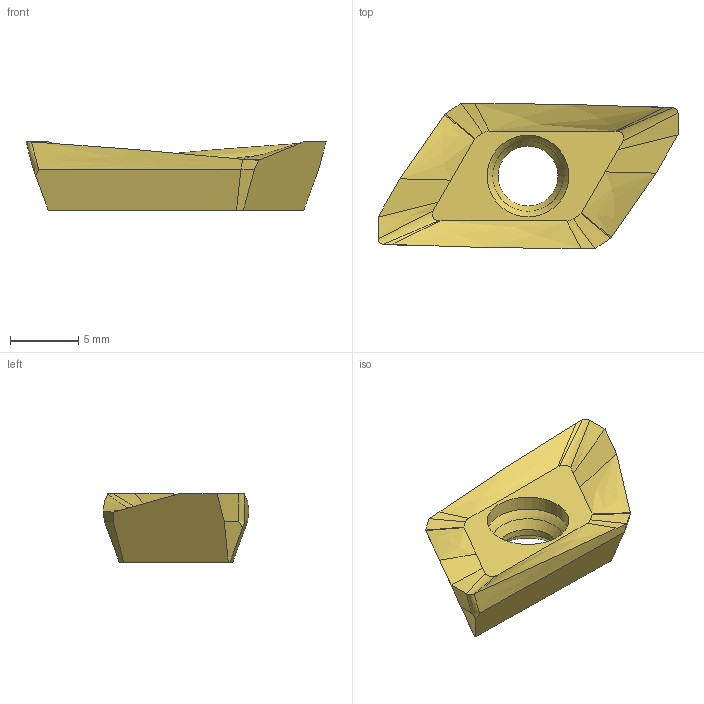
import cadquery as cq
import math

length = 22.0
width = 10.67
height = 5.0
break_height = 3.0
floor_height = 3.75

lower_draft = 20.0
end_draft = 15.0
chamfer_draft = 11.0

front_angle = -90.8
chamfer_angle = -57.0
side_angle = -30.0
end_angle = 180.0

end_at_top = length / 2
end_at_break = end_at_top - (height - break_height) * math.tan(math.radians(end_draft))
front_at_base = 4.10
chamfer_at_base = 5.91
side_at_base = 6.20

low_corner_height = 3.72
plate_end_height = 3.66
edge_slope = 0.1
nose_radius = 0.4
nose_edge_y = -5.0
nose_tip_height = 2.55
raised_side_y = -0.21

floor_half_width = 3.29
floor_side_distance = 4.76
floor_plate_distance = 4.45
floor_end_y = -1.93
floor_raised_y = -0.3
acute_corner_radius = 0.5
plate_corner_radius = 0.9

nose_strip = 0.6
nose_strip_at_floor = 0.15
corner_strip = 1.0
corner_step = 0.08

counterbore_radius = 3.0
counterbore_depth = 1.07
cone_radius = 2.6
cone_top = 2.1
cone_slope = 30.0
bore_radius = 2.2
exit_height = 0.9
exit_radius = bore_radius + exit_height


def meet(first, second, z):
    """Point at height z where two plan lines, each (angle, distance from axis), cross."""
    (angle_1, distance_1), (angle_2, distance_2) = first, second
    a1, a2 = math.radians(angle_1), math.radians(angle_2)
    determinant = math.sin(a2 - a1)
    x = (distance_1 * math.sin(a2) - distance_2 * math.sin(a1)) / determinant
    y = (distance_2 * math.cos(a1) - distance_1 * math.cos(a2)) / determinant
    return cq.Vector(x, y, z)


def drafted(angle, base_distance, z, draft=lower_draft, base_z=0.0):
    """Plan line of a flank at height z."""
    return (angle, base_distance + (z - base_z) * math.tan(math.radians(draft)))


def front(z):
    return drafted(front_angle, front_at_base, z)


def chamfer(z):
    return drafted(chamfer_angle, chamfer_at_base, z)


def upper_chamfer(z):
    distance = chamfer(break_height)[1]
    return drafted(chamfer_angle, distance, z, chamfer_draft, break_height)


def side(z):
    return drafted(side_angle, side_at_base, z)


def far_side(z):
    return drafted(side_angle + 180, side_at_base, z)


def lower_end(z):
    return drafted(end_angle, end_at_break, z, lower_draft, break_height)


def turned(point):
    """Same point after half a turn about Z."""
    return cq.Vector(-point.x, -point.y, point.z)


def at_x(flank, x, z):
    """Point of a flank line at a given X."""
    return meet(flank, (0, x), z)


def at_y(flank, y, z):
    """Point of a flank line at a given Y."""
    return meet(flank, (90, y), z)


def along(start, end, distance):
    """Point on the way from start to end, a distance from start."""
    return start + (end - start).normalized() * distance


side_base = meet(far_side(0), lower_end(0), 0)
nose_base = meet(lower_end(0), front(0), 0)
front_base = meet(front(0), chamfer(0), 0)
plate_base = meet(chamfer(0), side(0), 0)
nose_tip = meet(lower_end(nose_tip_height), front(nose_tip_height), nose_tip_height)
side_break = meet(far_side(break_height), (end_angle, end_at_break), break_height)
front_break = meet(front(break_height), chamfer(break_height), break_height)
plate_break = meet(chamfer(break_height), side(break_height), break_height)

end_nose = cq.Vector(-end_at_top, nose_edge_y + nose_radius, height)
nose_end = cq.Vector(-end_at_top + nose_radius, nose_edge_y, height)
nose_centre = cq.Vector(nose_end.x, end_nose.y, height)
low_corner = at_y(upper_chamfer(low_corner_height), -width / 2, low_corner_height)
plate_end = meet(upper_chamfer(plate_end_height), side(plate_end_height), plate_end_height)
end_side = at_x(far_side(height), -end_at_top, height)
raised_side = at_y(far_side(height), raised_side_y, height)
far_raised_side = turned(raised_side)
step_end = along(plate_end, far_raised_side, corner_step)

end_nose_break = cq.Vector(-end_at_break, end_nose.y, break_height)
nose_end_break = at_x(front(break_height), -end_at_break + nose_radius, break_height)

edge_run = low_corner.x - nose_end.x
nose_strip_run = edge_run - nose_strip


def edge_point(run):
    """Point on the long cutting edge at a distance in X from the low corner."""
    share = run / edge_run
    straight_rise = edge_slope * run
    excess_rise = edge_slope * edge_run - (height - low_corner_height)
    y = low_corner.y + (nose_end.y - low_corner.y) * share**2
    return cq.Vector(low_corner.x - run, y, low_corner_height + straight_rise - excess_rise * share**2)


def cutting_edge(run_start, run_end):
    """Stretch of the long cutting edge between two distances from the low corner."""
    middle = (run_start + run_end) / 2
    return cq.Edge.makeSpline([edge_point(run) for run in (run_start, middle, run_end)])


def rounded_corner(first, second, radius):
    """Start, middle and end of the arc rounding the floor corner between two plan lines."""
    centre = meet((first[0], first[1] - radius), (second[0], second[1] - radius), floor_height)

    def on_arc(angle):
        a = math.radians(angle)
        return centre + cq.Vector(math.cos(a), math.sin(a), 0) * radius

    return [on_arc(angle) for angle in (first[0], (first[0] + second[0]) / 2, second[0])]


floor_front = (-90, floor_half_width)
floor_plate = (chamfer_angle, floor_plate_distance)
floor_side = (side_angle, floor_side_distance)
floor_far_side = (side_angle - 180, floor_side_distance)
floor_raised = at_y(floor_far_side, floor_raised_y, floor_height)
floor_end = at_y(floor_far_side, floor_end_y, floor_height)
nose_corner = rounded_corner(floor_far_side, floor_front, acute_corner_radius)
floor_strip = nose_corner[2] + cq.Vector(nose_strip_at_floor, 0, 0)
plate_corner = rounded_corner(floor_front, floor_plate, plate_corner_radius)
floor_plate_end = meet(floor_plate, floor_side, floor_height)
floor_step = along(floor_plate_end, turned(floor_raised), corner_step)

line = cq.Edge.makeLine
arc = cq.Edge.makeThreePointArc
nose_middle = nose_centre - cq.Vector(1, 1, 0).normalized() * nose_radius
nose_arc = arc(end_nose, nose_middle, nose_end)
nose_strip_edge = cutting_edge(edge_run, nose_strip_run)
long_edge = cutting_edge(nose_strip_run, corner_strip)
corner_edge = cutting_edge(corner_strip, 0)


def chip_sectors():
    """Outer and inner edge of each top face around half the part."""
    return [
        (line(raised_side, end_side), line(floor_raised, floor_end)),
        (line(end_side, end_nose), line(floor_end, nose_corner[0])),
        (nose_arc, arc(*nose_corner)),
        (nose_strip_edge, line(nose_corner[2], floor_strip)),
        (long_edge, line(floor_strip, plate_corner[0])),
        (corner_edge, arc(*plate_corner)),
        (line(low_corner, plate_end), line(plate_corner[2], floor_plate_end)),
        (line(plate_end, step_end), line(floor_plate_end, floor_step)),
        (line(step_end, far_raised_side), line(floor_step, turned(floor_raised))),
    ]


def half_turn(shape):
    return shape.rotate(cq.Vector(0, 0, 0), cq.Vector(0, 0, 1), 180)


def polygon(*points):
    return cq.Face.makeFromWires(cq.Wire.makePolygon(points, close=True))


def patch(*edges, through=()):
    """Curved face spanning a closed loop of edges and passing through the given points."""
    return cq.Face.makeNSidedSurface(edges, through)


def wall_faces():
    """Flanks around half the part, from the base up to the top outline."""
    return [
        polygon(nose_base, front_base, front_break, nose_end_break, nose_tip),
        polygon(front_base, plate_base, plate_break, front_break),
        polygon(side_base, nose_base, nose_tip, end_nose_break, side_break),
        polygon(front_break, plate_break, plate_end, low_corner),
        polygon(side_break, end_nose_break, end_nose, end_side),
        polygon(
            plate_base,
            turned(side_base),
            turned(side_break),
            turned(end_side),
            far_raised_side,
            step_end,
            plate_end,
            plate_break,
        ),
        patch(
            nose_arc,
            line(nose_end, nose_end_break),
            line(nose_end_break, nose_tip),
            line(nose_tip, end_nose_break),
            line(end_nose_break, end_nose),
            through=[nose_middle.add(nose_tip) * 0.5],
        ),
        patch(
            nose_strip_edge,
            long_edge,
            corner_edge,
            line(low_corner, front_break),
            line(front_break, nose_end_break),
            line(nose_end_break, nose_end),
        ),
    ]


def insert_body():
    """Solid bounded by the flanks, the chip faces, the floor and the base."""
    sectors = chip_sectors()
    half = wall_faces() + [cq.Face.makeRuledSurface(outer, inner) for outer, inner in sectors]
    half_rim = [inner for _, inner in sectors]
    floor = cq.Face.makeFromWires(cq.Wire.assembleEdges(half_rim + [half_turn(edge) for edge in half_rim]))
    half_base = [side_base, nose_base, front_base, plate_base]
    base = polygon(*half_base, *[turned(point) for point in half_base])
    faces = half + [half_turn(face) for face in half] + [floor, base]
    return cq.Solid.makeSolid(cq.Shell.makeShell(faces))


def screw_hole():
    """Counterbore, curved seat, cone, bore and flared exit, as one revolved cutter."""
    seat_top = floor_height - counterbore_depth
    bore_top = cone_top - (cone_radius - bore_radius) / math.tan(math.radians(cone_slope))
    return (
        cq.Workplane("XZ")
        .lineTo(exit_radius, 0)
        .lineTo(bore_radius, exit_height)
        .lineTo(bore_radius, bore_top)
        .lineTo(cone_radius, cone_top)
        .tangentArcPoint((counterbore_radius, seat_top), relative=False)
        .lineTo(counterbore_radius, height)
        .lineTo(0, height)
        .close()
        .revolve(360, (0, 0, 0), (0, 1, 0))
    )


result = cq.Workplane(insert_body()).cut(screw_hole())